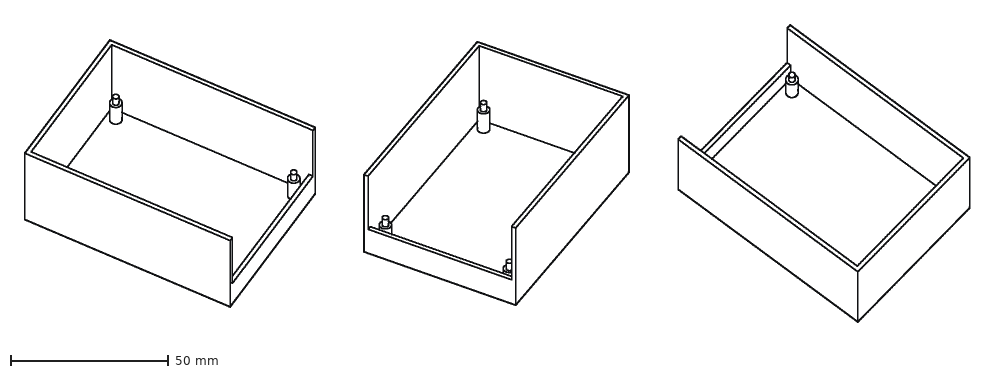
import cadquery as cq

length = 75.0
width = 55.0
height = 32.0
wall = 1.5
floor = 1.5

low_wall_height = 10.0

post_inset = 5.0
post_diameter = 4.0
pin_diameter = 2.0
post_height = 8.0
pin_height = 3.0


def open_box():
    """Box with its corner at the origin, hollowed from the top."""
    box = cq.Workplane("XY").box(length, width, height, centered=False)
    cavity = cq.Workplane("XY").box(
        length - 2 * wall, width - 2 * wall, height - floor, centered=False
    )
    return box.cut(cavity.translate((wall, wall, floor)))


def end_opening():
    """Volume removed above the low wall, between the two side walls."""
    return (
        cq.Workplane("XY")
        .box(wall, width - 2 * wall, height - low_wall_height, centered=False)
        .translate((length - wall, wall, low_wall_height))
    )


def stepped_post(x, y):
    """Post standing on the floor with a thinner locating pin on top."""
    return (
        cq.Workplane("XY")
        .center(x, y)
        .circle(post_diameter / 2)
        .extrude(floor + post_height)
        .faces(">Z")
        .workplane()
        .circle(pin_diameter / 2)
        .extrude(pin_height)
    )


result = open_box().cut(end_opening())
for post_x in (post_inset, length - post_inset):
    for post_y in (post_inset, width - post_inset):
        result = result.union(stepped_post(post_x, post_y))